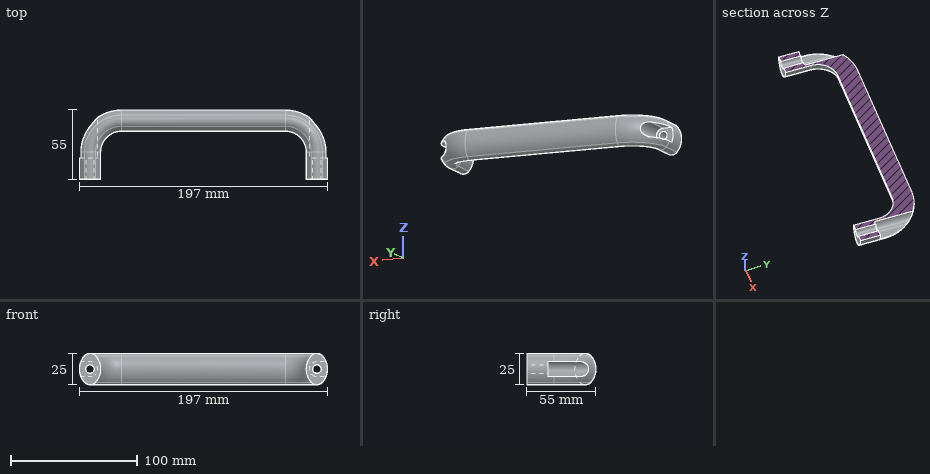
import cadquery as cq
import math

hole_spacing = 180.0
handle_height = 55.0
section_width = 17.0
section_depth = 25.0
bend_radius = 25.0

end_arc_radius = 6.0

screw_hole_diameter = 6.6
head_recess_diameter = 12.0
head_seat_height = 17.0

half_spacing = hole_spacing / 2
half_width = section_width / 2
half_depth = section_depth / 2
grip_axis_height = handle_height - half_width

end_centre = half_depth - end_arc_radius
flank_radius = (half_width**2 + end_centre**2 - end_arc_radius**2) / (2 * (half_width - end_arc_radius))
flank_centre = flank_radius - half_width


def oval_section(workplane):
    """Draw the oval on a workplane whose local Y runs along the long axis of the section."""
    tangent_angle = math.atan2(end_centre, flank_centre)
    joint_x = flank_radius * math.cos(tangent_angle) - flank_centre
    joint_y = flank_radius * math.sin(tangent_angle)
    return (
        workplane.moveTo(joint_x, -joint_y)
        .threePointArc((half_width, 0), (joint_x, joint_y))
        .threePointArc((0, half_depth), (-joint_x, joint_y))
        .threePointArc((-half_width, 0), (-joint_x, -joint_y))
        .threePointArc((0, -half_depth), (joint_x, -joint_y))
        .close()
    )


def bow_body():
    """Sweep the oval up one leg, across the grip and down the other leg."""
    bend_offset = bend_radius * math.sqrt(0.5)
    bend_start_y = grip_axis_height - bend_radius
    bend_end_x = half_spacing - bend_radius
    path = (
        cq.Workplane("XY")
        .moveTo(-half_spacing, 0)
        .lineTo(-half_spacing, bend_start_y)
        .threePointArc(
            (-bend_end_x - bend_offset, bend_start_y + bend_offset),
            (-bend_end_x, grip_axis_height),
        )
        .lineTo(bend_end_x, grip_axis_height)
        .threePointArc(
            (bend_end_x + bend_offset, bend_start_y + bend_offset),
            (half_spacing, bend_start_y),
        )
        .lineTo(half_spacing, 0)
    )
    foot_plane = cq.Workplane("XZ", origin=(-half_spacing, 0, 0))
    return oval_section(foot_plane).sweep(path)


def screw_cutter(side):
    """Clearance hole plus a head recess that opens through the outer flank of the leg."""
    foot_plane = cq.Workplane("XZ", origin=(side * half_spacing, 0, 0))
    hole = foot_plane.circle(screw_hole_diameter / 2).extrude(-handle_height)
    seat_plane = foot_plane.workplane(offset=-head_seat_height)
    recess_length = handle_height - head_seat_height
    recess = seat_plane.circle(head_recess_diameter / 2).extrude(-recess_length)
    outlet = (
        seat_plane.center(side * half_width, 0)
        .rect(section_width, head_recess_diameter)
        .extrude(-recess_length)
    )
    return hole.union(recess).union(outlet)


result = bow_body()
for side in (-1, 1):
    result = result.cut(screw_cutter(side))